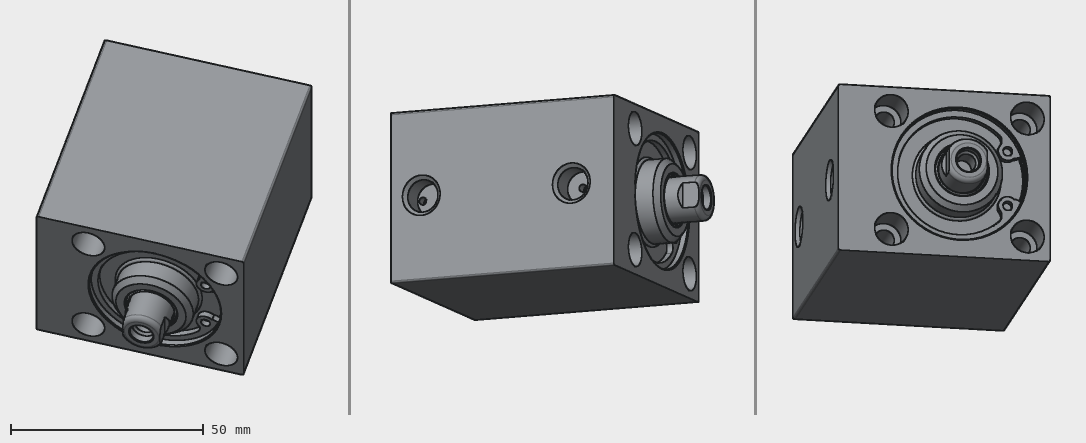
import cadquery as cq
import math


WIDTH = 56.0
HEIGHT = 45.0
TOTAL_LENGTH = 75.5
ROD_REACH = 12.5
BLOCK_LENGTH = TOTAL_LENGTH - ROD_REACH
BLOCK_SHIFT_X = -4.0
EDGE_FILLET = 0.5

BOLT_X = 18.0
BOLT_Z = 16.0
BOLT_DIA = 5.3
BOLT_HEAD_DIA = 8.8
BOLT_HEAD_DEPTH = 10.0

PORT_DIA = 8.5
PORT_DEPTH = 7.55
PORT_CHAMFER = 1.05
DUCT_DIA = 2.0
DUCT_DEPTH = 3.0
FRONT_PORT_Y = 12.0
REAR_PORT_Y = BLOCK_LENGTH - 8.6
REAR_DUCT_Y = BLOCK_LENGTH - 5.8

RECESS_DIA = 35.5
RECESS_CHAMFER = 0.3
GROOVE_DIA = 37.3
RING_FRONT_Y = 2.0
RING_THICKNESS = 1.7
FLOOR_Y = RING_FRONT_Y + RING_THICKNESS
SEAM_SIZE = 0.3

COLLAR_DIA = 22.0
COLLAR_REACH = 3.55
COLLAR_CHAMFER = 1.5
COLLAR_FILLET = 0.75

ROD_DIA = 12.0
SEAT_DEPTH = 22.65
LIP_GROOVE_DIA = 14.0
LIP_GROOVE_DEPTH = 1.0
LIP_OUTER_DIA = 13.7
LIP_INNER_DIA = 12.5
LIP_DROP = 0.3
MOUTH_CHAMFER = 0.2

ROD_FILLET = 1.35
FLATS_WIDTH = 10.05
FLATS_LENGTH = 4.6
THREAD_DIA = 4.9
THREAD_MOUTH_DIA = 6.3
THREAD_MOUTH_DEPTH = 2.3
THREAD_DEPTH = 9.05

RING_INNER_DIA = 31.9
RING_GAP_ANGLE = 20.0
LUG_X = 13.1
LUG_Z = 7.4
LUG_RADIUS = 2.5
LUG_HOLE_DIA = 2.5
LUG_FILLET = 2.0


def cylinder_y(diameter, y_start, length, x=0.0, z=0.0):
    """Cylinder along +Y."""
    return cq.Workplane(cq.Solid.makeCylinder(
        diameter / 2, length, cq.Vector(x, y_start, z), cq.Vector(0, 1, 0)))


def turned(points):
    """Solid of revolution about the Y axis from (radius, y) points."""
    return cq.Workplane("XY").polyline(points).close().revolve(360, (0, 0, 0), (0, 1, 0))


def make_block():
    """Plain block with rounded long edges."""
    block = cq.Workplane("XY").box(WIDTH, BLOCK_LENGTH, HEIGHT)
    block = block.edges("|Y").fillet(EDGE_FILLET)
    return block.translate((BLOCK_SHIFT_X, BLOCK_LENGTH / 2, 0))


def bolt_hole(x, z):
    """Through hole counterbored from the front face."""
    through = cylinder_y(BOLT_DIA, 0, BLOCK_LENGTH, x, z)
    return through.union(cylinder_y(BOLT_HEAD_DIA, 0, BOLT_HEAD_DEPTH, x, z))


def port(port_y, duct_y):
    """Port bore with a chamfered mouth and a small duct in its floor."""
    side_x = BLOCK_SHIFT_X - WIDTH / 2
    inward = cq.Vector(1, 0, 0)
    mouth = cq.Solid.makeCone(PORT_DIA / 2 + PORT_CHAMFER, PORT_DIA / 2, PORT_CHAMFER,
                              cq.Vector(side_x, port_y, 0), inward)
    bore = cq.Solid.makeCylinder(PORT_DIA / 2, PORT_DEPTH, cq.Vector(side_x, port_y, 0), inward)
    duct = cq.Solid.makeCylinder(DUCT_DIA / 2, PORT_DEPTH + DUCT_DEPTH,
                                 cq.Vector(side_x, duct_y, 0), inward)
    return cq.Workplane(bore).union(cq.Workplane(mouth)).union(cq.Workplane(duct))


def front_recess():
    """Cutter for the recess, its ring groove and the seam in its floor."""
    recess_r = RECESS_DIA / 2
    groove_r = GROOVE_DIA / 2
    return turned([
        (0, 0),
        (recess_r + RECESS_CHAMFER, 0),
        (recess_r, RECESS_CHAMFER),
        (recess_r, RING_FRONT_Y),
        (groove_r, RING_FRONT_Y),
        (groove_r, FLOOR_Y),
        (recess_r, FLOOR_Y),
        (recess_r, FLOOR_Y + SEAM_SIZE),
        (recess_r - SEAM_SIZE, FLOOR_Y),
        (0, FLOOR_Y),
    ])


def make_collar():
    """Chamfered collar, blended into the recess floor."""
    radius = COLLAR_DIA / 2
    collar = (
        cq.Workplane("XY")
        .moveTo(0, -COLLAR_REACH)
        .lineTo(radius - COLLAR_CHAMFER, -COLLAR_REACH)
        .lineTo(radius, COLLAR_CHAMFER - COLLAR_REACH)
        .lineTo(radius, FLOOR_Y - COLLAR_FILLET)
        .radiusArc((radius + COLLAR_FILLET, FLOOR_Y), -COLLAR_FILLET)
        .lineTo(0, FLOOR_Y)
        .close()
    )
    return collar.revolve(360, (0, 0, 0), (0, 1, 0))


def lip_groove():
    """Groove around the rod, leaving a conical wiper lip beside the rod."""
    front_y = -COLLAR_REACH
    floor_y = front_y + LIP_GROOVE_DEPTH
    groove_r = LIP_GROOVE_DIA / 2
    return turned([
        (0, front_y),
        (groove_r + MOUTH_CHAMFER, front_y),
        (groove_r, front_y + MOUTH_CHAMFER),
        (groove_r, floor_y),
        (LIP_OUTER_DIA / 2, floor_y),
        (LIP_INNER_DIA / 2, front_y + LIP_DROP),
        (LIP_INNER_DIA / 2, floor_y),
        (0, floor_y),
    ])


def make_housing():
    """Block with the recess, collar, rod seat, bolt holes and ports."""
    housing = make_block().cut(front_recess()).union(make_collar())
    housing = housing.cut(lip_groove())
    housing = housing.cut(cylinder_y(ROD_DIA, -COLLAR_REACH, COLLAR_REACH + SEAT_DEPTH))
    for x in (-BOLT_X, BOLT_X):
        for z in (-BOLT_Z, BOLT_Z):
            housing = housing.cut(bolt_hole(x, z))
    housing = housing.cut(port(FRONT_PORT_Y, FRONT_PORT_Y))
    return housing.cut(port(REAR_PORT_Y, REAR_DUCT_Y))


def wrench_flat():
    """Cutter for the +X flat, with a 45 degree run-out towards the rod body."""
    flat_x = FLATS_WIDTH / 2
    run_out = ROD_DIA / 2 - flat_x
    flat_end_y = FLATS_LENGTH - ROD_REACH
    return (
        cq.Workplane("XY")
        .polyline([
            (flat_x, -ROD_REACH),
            (flat_x, flat_end_y),
            (flat_x + run_out, flat_end_y + run_out),
            (flat_x + run_out, -ROD_REACH),
        ])
        .close()
        .extrude(ROD_DIA / 2, both=True)
    )


def make_rod():
    """Rod with a rounded tip, two wrench flats and a stepped screw hole."""
    rod = cylinder_y(ROD_DIA, -ROD_REACH, ROD_REACH + SEAT_DEPTH)
    rod = rod.faces("<Y").edges().fillet(ROD_FILLET)
    flat = wrench_flat()
    rod = rod.cut(flat).cut(flat.mirror("YZ"))
    thread_r = THREAD_DIA / 2
    mouth_r = THREAD_MOUTH_DIA / 2
    mouth_end_y = THREAD_MOUTH_DEPTH - ROD_REACH
    thread_end_y = THREAD_DEPTH - ROD_REACH
    thread_hole = turned([
        (0, -ROD_REACH),
        (mouth_r + MOUTH_CHAMFER, -ROD_REACH),
        (mouth_r, MOUTH_CHAMFER - ROD_REACH),
        (mouth_r, mouth_end_y),
        (thread_r, mouth_end_y + mouth_r - thread_r),
        (thread_r, thread_end_y),
        (0, thread_end_y),
    ])
    return rod.cut(thread_hole)


def lug_corner():
    """Point (x, z) where the upper lug's circle meets the inner circle of the ring."""
    inner_r = RING_INNER_DIA / 2
    lug_distance = math.hypot(LUG_X, LUG_Z)
    cosine = (inner_r**2 + lug_distance**2 - LUG_RADIUS**2) / (2 * inner_r * lug_distance)
    angle = math.atan2(LUG_Z, LUG_X) + math.acos(cosine)
    return inner_r * math.cos(angle), inner_r * math.sin(angle)


def make_retaining_ring():
    """Open ring with two drilled lugs beside its gap on the +X side."""
    ring = cylinder_y(GROOVE_DIA, RING_FRONT_Y, RING_THICKNESS)
    ring = ring.cut(cylinder_y(RING_INNER_DIA, RING_FRONT_Y, RING_THICKNESS))
    gap_x = GROOVE_DIA
    gap_z = gap_x * math.tan(math.radians(RING_GAP_ANGLE))
    gap = (
        cq.Workplane("XZ", origin=(0, FLOOR_Y, 0))
        .polyline([(0, 0), (gap_x, gap_z), (gap_x, -gap_z)])
        .close()
        .extrude(RING_THICKNESS)
    )
    ring = ring.cut(gap)
    corner_x, corner_z = lug_corner()
    middle_y = RING_FRONT_Y + RING_THICKNESS / 2
    for side in (-1, 1):
        lug_z = side * LUG_Z
        ring = ring.union(cylinder_y(2 * LUG_RADIUS, RING_FRONT_Y, RING_THICKNESS, LUG_X, lug_z))
        corner = cq.NearestToPointSelector((corner_x, middle_y, side * corner_z))
        ring = ring.edges("|Y").edges(corner).fillet(LUG_FILLET)
        ring = ring.cut(cylinder_y(LUG_HOLE_DIA, RING_FRONT_Y, RING_THICKNESS, LUG_X, lug_z))
    return ring


housing = make_housing().solids()
rod = make_rod().solids()
retaining_ring = make_retaining_ring().solids()

result = cq.Compound.makeCompound([housing.val(), rod.val(), retaining_ring.val()])